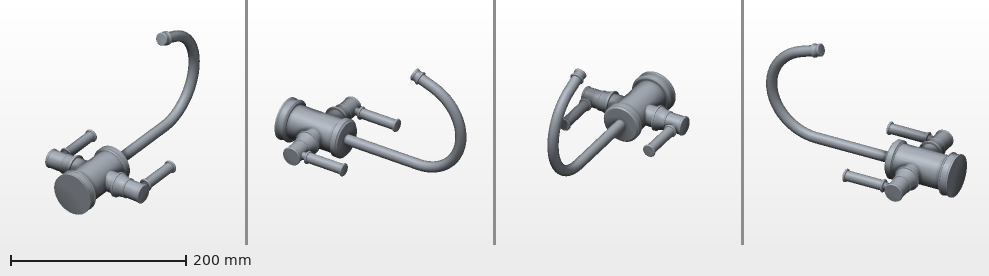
import cadquery as cq
import math


base_radius = 25.5
base_waist_radius = 24.5
base_rim_end = 1.5
base_waist_start = 3.0
base_lip_start = 9.7
base_lip_end = 11.5
base_lip_chamfer = 0.5
base_shoulder_radius = 23.0
base_end = 13.0
barrel_radius = 20.5
collar_radius = 23.3
collar_shoulder_radius = 22.1
collar_face_radius = 21.0
collar_start = 72.0
collar_end = 82.0
collar_barrel_bevel = 1.2
collar_barrel_shoulder = 1.7
collar_spout_bevel = 1.5
collar_spout_shoulder = 2.2

total_length = 243.1
tube_radius = 13.0 / 2
bend_radius = 57.5
outlet_angle = 20.0
nozzle_start = 17.0
nozzle_profile = [
    (0, 7.3),
    (0.5, 8.3),
    (2.0, 8.3),
    (4.0, 7.0),
    (6.8, 6.8),
    (8.0, 7.5),
    (10.0, 7.5),
    (10.7, 6.8),
]

arm_height = 48.5
arm_end = 65.5
neck_radius = 12.5
shoulder_start = 29.5
shoulder_end = 31.5
flare_start = 32.3
shoulder_radius = 15.0
flare_end = 42.5
flare_large_radius = 14.0
flare_sag = 0.5
band_end = 44.7
band_radius = 12.0
band_chamfer = 0.5
knob_radius = 21.6 / 2
end_ring_width = 3.2
end_ring_radius = 23.0 / 2
end_ring_bulge = 0.7

handle_offset = 111.5 / 2
stem_radius = 4.5
lever_radius = 12.5 / 2
lever_start = 64.0
lever_end = 114.8
lever_ring_radius = 15.8 / 2
lever_ring_width = 3.0
lever_ring_bulge = 1.0


def rod(origin, direction, length, radius):
    """Solid cylinder starting at origin."""
    solid = cq.Solid.makeCylinder(radius, length, cq.Vector(*origin), cq.Vector(*direction))
    return cq.Workplane(obj=solid)


def bulged_ring(origin, direction, width, radius, bulge):
    """Disc starting at origin, along X or Y, whose rim bulges outwards in an arc."""
    rim_radius = radius - bulge
    radial = cq.Vector(0, 0, 1)
    plane = cq.Plane(origin=origin, xDir=radial, normal=radial.cross(cq.Vector(*direction)))
    return (
        cq.Workplane(plane)
        .lineTo(rim_radius, 0)
        .threePointArc((radius, width / 2), (rim_radius, width))
        .lineTo(0, width)
        .close()
        .revolve(360, (0, 0), (0, 1))
    )


def make_body():
    lip_edge_radius = base_radius - base_lip_chamfer
    return (
        cq.Workplane("XY")
        .polyline([
            (0, 0),
            (base_radius, 0),
            (base_radius, base_rim_end),
            (base_waist_radius, base_waist_start),
            (base_waist_radius, base_lip_start),
            (lip_edge_radius, base_lip_start),
            (base_radius, base_lip_start + base_lip_chamfer),
            (base_radius, base_lip_end - base_lip_chamfer),
            (lip_edge_radius, base_lip_end),
            (base_shoulder_radius, base_end),
            (barrel_radius, base_end),
            (barrel_radius, collar_start),
            (collar_face_radius, collar_start),
            (collar_shoulder_radius, collar_start + collar_barrel_bevel),
            (collar_radius, collar_start + collar_barrel_shoulder),
            (collar_radius, collar_end - collar_spout_shoulder),
            (collar_shoulder_radius, collar_end - collar_spout_bevel),
            (collar_face_radius, collar_end),
            (0, collar_end),
        ])
        .close()
        .revolve(360, (0, 0), (0, 1))
    )


def make_spout():
    bend_y = total_length - tube_radius - bend_radius
    bend_sweep = 180 - outlet_angle

    def bend_point(angle):
        """Centreline point after turning through the given angle in degrees."""
        turn = math.radians(angle)
        return bend_y + bend_radius * math.sin(turn), bend_radius * (1 - math.cos(turn))

    outlet_y = -math.cos(math.radians(outlet_angle))
    outlet_z = math.sin(math.radians(outlet_angle))
    bend_end = bend_point(bend_sweep)
    nozzle_y = bend_end[0] + nozzle_start * outlet_y
    nozzle_z = bend_end[1] + nozzle_start * outlet_z

    path = (
        cq.Workplane("YZ")
        .moveTo(collar_end, 0)
        .lineTo(bend_y, 0)
        .threePointArc(bend_point(bend_sweep / 2), bend_end)
        .lineTo(nozzle_y, nozzle_z)
    )
    tube_section = cq.Workplane("XZ", origin=(0, collar_end, 0)).circle(tube_radius)
    spout = tube_section.sweep(path)

    nozzle_plane = cq.Plane(
        origin=(0, nozzle_y, nozzle_z), xDir=(1, 0, 0), normal=(0, -outlet_z, outlet_y)
    )
    nozzle_length = nozzle_profile[-1][0]
    nozzle = (
        cq.Workplane(nozzle_plane)
        .polyline([(0, 0), *((radius, along) for along, radius in nozzle_profile), (0, nozzle_length)])
        .close()
        .revolve(360, (0, 0), (0, 1))
    )
    return spout.union(nozzle)


def make_arm():
    """Turned arm pointing along +X, starting on the body axis."""
    band_edge_radius = band_radius - band_chamfer
    flare_middle = (
        (flare_start + flare_end) / 2,
        (flare_large_radius + band_edge_radius) / 2 - flare_sag,
    )
    arm = (
        cq.Workplane("XY")
        .polyline([
            (0, 0),
            (0, neck_radius),
            (shoulder_start, neck_radius),
            (shoulder_start, shoulder_radius),
            (shoulder_end, shoulder_radius),
            (shoulder_end, flare_large_radius),
            (flare_start, flare_large_radius),
        ])
        .threePointArc(flare_middle, (flare_end, band_edge_radius))
        .lineTo(flare_end + band_chamfer, band_radius)
        .lineTo(band_end - band_chamfer, band_radius)
        .lineTo(band_end, band_edge_radius)
        .lineTo(band_end, knob_radius)
        .lineTo(arm_end - end_ring_width, knob_radius)
        .lineTo(arm_end - end_ring_width, 0)
        .close()
        .revolve(360, (0, 0), (1, 0))
        .translate((0, arm_height, 0))
    )
    end_ring_origin = (arm_end - end_ring_width, arm_height, 0)
    end_ring = bulged_ring(end_ring_origin, (1, 0, 0), end_ring_width, end_ring_radius, end_ring_bulge)
    return arm.union(end_ring)


def make_handle():
    """Lever on the +X arm: stem, grip and a rounded ring at each end of the grip."""
    along_y = (0, 1, 0)
    stem_origin = (handle_offset, arm_height, 0)
    grip_origin = (handle_offset, lever_start, 0)
    handle = rod(stem_origin, along_y, lever_start - arm_height, stem_radius)
    handle = handle.union(rod(grip_origin, along_y, lever_end - lever_start, lever_radius))
    for ring_start in (lever_start, lever_end - lever_ring_width):
        ring_origin = (handle_offset, ring_start, 0)
        ring = bulged_ring(ring_origin, along_y, lever_ring_width, lever_ring_radius, lever_ring_bulge)
        handle = handle.union(ring)
    return handle


valve = make_arm().union(make_handle())
result = make_body().union(make_spout()).union(valve).union(valve.mirror("YZ"))